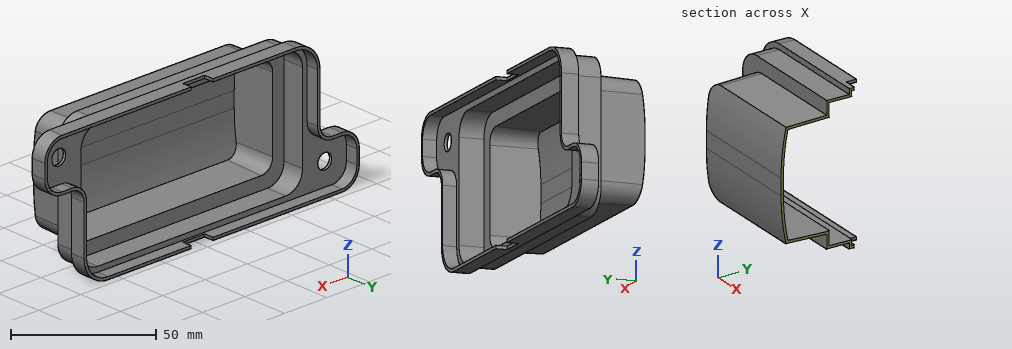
import cadquery as cq
import math

wall = 1.2

overall_length = 148.7
plate_height = 60.8
plate_thickness = 6.4
body_length = 111.5
body_radius = 11.3
lug_height = 22.5
lug_radius = 8.2
lug_inner_radius = 5.8
hole_diameter = 6.5
hole_x = 62.9
hole_z = 19.5

recess_depth = plate_thickness - wall
notch_width = 10.3
notch_depth = 4.2

step_inset = 2.2
step_thickness = 9.2
step_length = body_length - 2 * step_inset
step_height = plate_height - 2 * step_inset
step_radius = body_radius - step_inset

block_length = 96.2
block_height = 45.2
block_radius = 6.7
block_depth = 18.7
block_taper = 0.6
crown_flat = 6.7
crown_radius = 86.2

step_front = plate_thickness + step_thickness
overall_depth = step_front + block_depth


def front_plane(distance):
    """Workplane facing -Y, the given distance in front of the back face."""
    return cq.Workplane("XZ", origin=(0, -distance, 0))


def rounded_prism(distance, length, height, radius, depth, taper=0):
    """Rounded rectangle extruded forward from the given distance."""
    outline = cq.Sketch().rect(length, height).vertices().fillet(radius)
    return front_plane(distance).placeSketch(outline).extrude(depth, taper=taper)


def lug(side):
    """Corner lug, upper right for side = 1 and lower left for side = -1."""
    body_edge = body_length / 2
    lug_edge = overall_length / 2
    top = plate_height / 2
    bottom = top - lug_height
    fillet_z = bottom - lug_inner_radius
    diagonal = 1 - math.sqrt(0.5)
    inner_offset = lug_inner_radius * diagonal
    outer_offset = lug_radius * diagonal

    def at(x, z):
        return side * x, side * z

    return (
        front_plane(0)
        .moveTo(*at(0, top))
        .lineTo(*at(lug_edge - lug_radius, top))
        .threePointArc(at(lug_edge - outer_offset, top - outer_offset), at(lug_edge, top - lug_radius))
        .lineTo(*at(lug_edge, bottom + lug_radius))
        .threePointArc(at(lug_edge - outer_offset, bottom + outer_offset), at(lug_edge - lug_radius, bottom))
        .lineTo(*at(body_edge + lug_inner_radius, bottom))
        .threePointArc(at(body_edge + inner_offset, bottom - inner_offset), at(body_edge, fillet_z))
        .lineTo(*at(0, fillet_z))
        .close()
        .extrude(plate_thickness)
    )


def make_plate():
    plate = rounded_prism(0, body_length, plate_height, body_radius, plate_thickness)
    plate = plate.union(lug(1)).union(lug(-1))
    back_outline = plate.faces(">Y").wires().toPending().workplane()
    recess = back_outline.offset2D(-wall).extrude(-recess_depth, combine=False)
    holes = (
        front_plane(0)
        .pushPoints([(hole_x, hole_z), (-hole_x, -hole_z)])
        .circle(hole_diameter / 2)
        .extrude(plate_thickness)
    )
    notch = front_plane(0).rect(notch_width, plate_height).extrude(notch_depth)
    return plate.cut(recess).cut(holes).cut(notch)


def make_step(inset=0):
    """Step prism; with an inset, the cavity inside it, reaching back into the plate recess."""
    return rounded_prism(
        plate_thickness - inset,
        step_length - 2 * inset,
        step_height - 2 * inset,
        step_radius - inset,
        step_thickness,
    )


def crown_envelope(inset):
    """Prism along X whose front is a flat band with a tangent arc on each side."""
    half_flat = crown_flat / 2
    half_height = block_height / 2 - inset
    arc_radius = crown_radius - inset
    base_y = inset - step_front
    front_y = inset - overall_depth

    def crown_y(z):
        drop = arc_radius - math.sqrt(arc_radius**2 - (z - half_flat) ** 2)
        return front_y + drop

    middle = (half_flat + half_height) / 2
    return (
        cq.Workplane("YZ")
        .moveTo(base_y, -half_height)
        .lineTo(crown_y(half_height), -half_height)
        .threePointArc((crown_y(middle), -middle), (front_y, -half_flat))
        .lineTo(front_y, half_flat)
        .threePointArc((crown_y(middle), middle), (crown_y(half_height), half_height))
        .lineTo(base_y, half_height)
        .close()
        .extrude(block_length / 2, both=True)
    )


def make_block(inset=0):
    """Crowned block; with an inset, the cavity inside it, reaching back into the step."""
    taper_angle = math.degrees(math.atan(block_taper / block_depth))
    block = rounded_prism(
        step_front - inset,
        block_length - 2 * inset,
        block_height - 2 * inset,
        block_radius - inset,
        block_depth,
        taper_angle,
    )
    return block.intersect(crown_envelope(inset))


outside = make_plate().union(make_step()).union(make_block())
result = outside.cut(make_step(wall)).cut(make_block(wall))